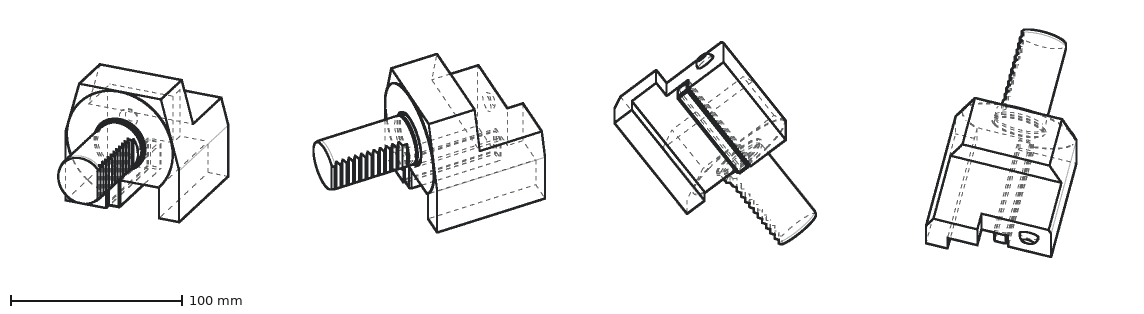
import cadquery as cq
import math


body_left = -35.0
body_right = 38.0
body_bottom = -43.0
body_top = 34.0
body_front = 0.5
body_back = 60.0
top_half_width = 26.25
flank_angle = 15.0
low_deck_z = 7.0
low_deck_start = 30.0
stop_left = 7.0
stop_back = 70.0

slot_left = -9.0
slot_right = 25.0
slot_roof = -23.0

flange_diameter = 68.0
recess_mouth_diameter = 33.0
recess_diameter = 31.6
recess_depth = 1.0

shank_diameter = 30.0
relief_diameter = 29.1
shank_tip = -55.0
tip_chamfer_length = 2.0
neck_end = -1.15
neck_cone_end = -2.4

flat_x = 12.1
flat_start = -7.0
tooth_pitch = 4.0
tooth_depth = 1.8
first_root_y = -11.6
root_count = 12

gib_left = -8.2
gib_right = 0.0
gib_top = -23.3
gib_bottom = -41.35
gib_front = 0.5
gib_back = body_back - gib_front
gib_chamfer = 1.0

nozzle_x = -21.7
nozzle_z = -12.6
nozzle_diameter = 11.6
nozzle_centre_y = 59.2
nozzle_tip_y = 63.8


def box(x_min, x_max, y_min, y_max, z_min, z_max):
    return cq.Workplane("XY").box(
        x_max - x_min, y_max - y_min, z_max - z_min, centered=False
    ).translate((x_min, y_min, z_min))


def disc(diameter, y_min, y_max):
    return cq.Workplane("XZ", origin=(0, y_max, 0)).circle(diameter / 2).extrude(y_max - y_min)


def revolve_about_shank_axis(half_profile):
    return cq.Workplane("XY").polyline(half_profile).close().revolve(360, (0, 0, 0), (0, 1, 0))


def make_body():
    slope = math.tan(math.radians(flank_angle))
    left_edge_z = body_top - (-body_left - top_half_width) / slope
    right_edge_z = body_top - (body_right - top_half_width) / slope
    outline = [
        (body_left, body_bottom),
        (body_right, body_bottom),
        (body_right, right_edge_z),
        (top_half_width, body_top),
        (-top_half_width, body_top),
        (body_left, left_edge_z),
    ]
    body = (
        cq.Workplane("XZ", origin=(0, stop_back, 0))
        .polyline(outline)
        .close()
        .extrude(stop_back - body_front)
    )
    above_deck = box(body_left, body_right, low_deck_start, stop_back, low_deck_z, body_top)
    beside_stop = box(body_left, stop_left, body_back, stop_back, body_bottom, body_top)
    return body.cut(above_deck).cut(beside_stop).union(disc(flange_diameter, 0, body_front))


def make_slot():
    return box(slot_left, slot_right, 0, stop_back, body_bottom, slot_roof)


def make_face_recess():
    mouth_chamfer = (recess_mouth_diameter - recess_diameter) / 2
    half_profile = [
        (0, 0),
        (recess_mouth_diameter / 2, 0),
        (recess_diameter / 2, mouth_chamfer),
        (recess_diameter / 2, recess_depth),
        (0, recess_depth),
    ]
    return revolve_about_shank_axis(half_profile)


def make_shank():
    shank_radius = shank_diameter / 2
    relief_radius = relief_diameter / 2
    half_profile = [
        (0, recess_depth),
        (relief_radius, recess_depth),
        (relief_radius, neck_end),
        (shank_radius, neck_cone_end),
        (shank_radius, shank_tip + tip_chamfer_length),
        (relief_radius, shank_tip),
        (0, shank_tip),
    ]
    shank = revolve_about_shank_axis(half_profile)
    flat = box(flat_x, shank_diameter, shank_tip, flat_start, -shank_diameter, shank_diameter)
    return shank.cut(flat).cut(make_tooth_gaps())


def make_tooth_gaps():
    gaps = cq.Workplane("XY", origin=(0, 0, -shank_diameter / 2))
    for index in range(root_count):
        root_y = first_root_y - index * tooth_pitch
        gaps = gaps.polyline([
            (flat_x - tooth_depth, root_y),
            (flat_x, root_y + tooth_depth),
            (flat_x, root_y - tooth_depth),
        ]).close()
    return gaps.extrude(shank_diameter)


def make_gib():
    gib = box(gib_left, gib_right, gib_front, gib_back, gib_bottom, gib_top)
    gib = gib.edges().chamfer(gib_chamfer)
    backing = box(
        slot_left,
        gib_left + gib_chamfer,
        gib_front + gib_chamfer,
        gib_back - gib_chamfer,
        gib_bottom + gib_chamfer,
        gib_top - gib_chamfer,
    )
    return gib.union(backing)


def make_nozzle():
    ball = cq.Workplane("XY").sphere(nozzle_diameter / 2).translate((nozzle_x, nozzle_centre_y, nozzle_z))
    keep = box(body_left, stop_left, body_back - nozzle_diameter, nozzle_tip_y, body_bottom, body_top)
    return ball.intersect(keep)


holder = make_body().cut(make_slot())
holder = holder.cut(make_face_recess())
result = holder.union(make_shank()).union(make_gib()).union(make_nozzle())